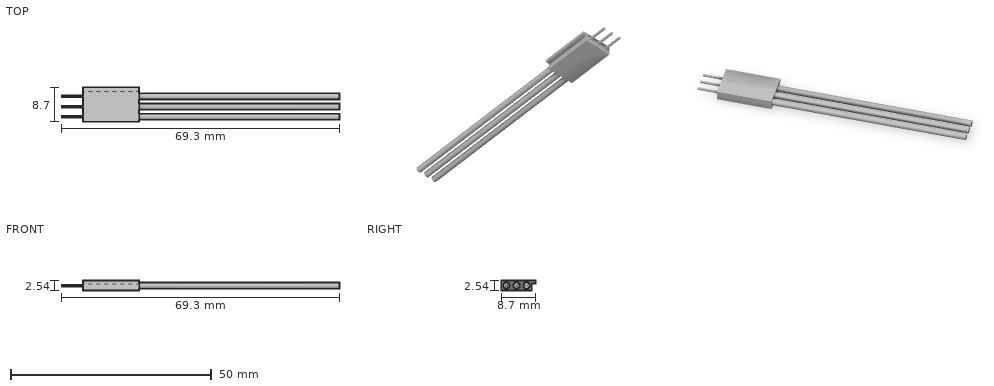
import cadquery as cq

pitch = 2.54
pole_count = 3

housing_length = 14.03
housing_height = pitch
overall_width = 8.7
body_width = 7.7
key_thickness = 0.8

pin_length = 5.3
pin_width = 0.5

wire_diameter = 1.6
wire_length = 50.0

pole_offsets = [(i - (pole_count - 1) / 2) * pitch for i in range(pole_count)]
body_side = body_width / 2
key_side = overall_width - body_side
top = housing_height / 2
key_bottom = top - key_thickness


def make_connector():
    """Keyed housing with its contact pins, as one solid."""
    profile = [
        (-body_side, -top),
        (body_side, -top),
        (body_side, key_bottom),
        (key_side, key_bottom),
        (key_side, top),
        (-body_side, top),
    ]
    housing = cq.Workplane("YZ").polyline(profile).close().extrude(housing_length)
    pins = (
        cq.Workplane("YZ")
        .pushPoints([(y, 0) for y in pole_offsets])
        .rect(pin_width, pin_width)
        .extrude(-pin_length)
    )
    return housing.union(pins)


def make_wire(y):
    """Round wire that butts against the rear face of the housing."""
    return (
        cq.Workplane("YZ", origin=(housing_length, y, 0))
        .circle(wire_diameter / 2)
        .extrude(wire_length)
    )


connector = make_connector()
wires = [make_wire(y) for y in pole_offsets]

result = cq.Compound.makeCompound([connector.val(), *[wire.val() for wire in wires]])